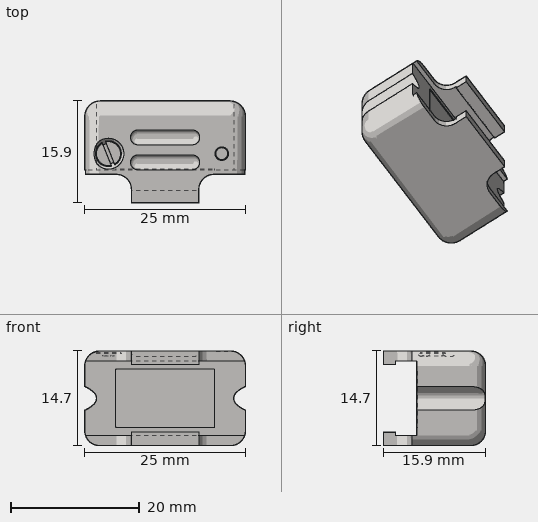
import cadquery as cq
import math

WIDTH = 25.02
DEPTH = 15.9
HEIGHT = 14.74
TOP = HEIGHT / 2

CORNER_RADIUS = 2.5
EDGE_RADIUS = 2.35

FRONT_FACE_Y = 5.13
LIP_Y = 4.43
LIP_THICKNESS = 1.6
TAB_WIDTH = 10.5
TAB_BLEND_RADIUS = 2.33
HOOK_LENGTH = 1.9
HOOK_THICKNESS = 2.13

PANEL_WIDTH = 15.35
PANEL_HEIGHT = 9.13
PANEL_CORNER_RADIUS = 0.15
PANEL_DEPTH = 0.13

NOTCH_DEPTH = 1.83
NOTCH_HALF_HEIGHT = 1.85
NOTCH_ROOT_RADIUS = 1.25
NOTCH_ROOT_HALF_HEIGHT = 0.93

SLOT_WIDTH = 2.3
SLOT_LENGTH = 10.75
SLOT_DEPTH = 0.88
SLOT_CENTERS_Y = (6.3, 10.18)

FASTENER_X = 8.8
FASTENER_Y = 7.65
SCREW_SEAT_RADIUS = 2.4
SCREW_HEAD_TOP = 0.28
SCREW_HEAD_CHAMFER = 0.13
SCREW_SLOT_WIDTH = 0.55
SCREW_SLOT_BOTTOM = 0.83
SCREW_SLOT_ANGLE = -68.0
PIN_RADIUS = 1.05
PIN_DEPTH = 0.13

CLEARANCE = 0.25


def box(x_size, y_start, y_end, z_start, z_end):
    """Box centred on X and spanning the given Y and Z ranges."""
    return (
        cq.Workplane("XY", origin=(0, y_start, z_start))
        .box(x_size, y_end - y_start, z_end - z_start, centered=(True, False, False))
    )


def make_body():
    block = box(WIDTH, LIP_Y, DEPTH, -TOP, TOP)
    block = block.edges("|Z and >Y").fillet(CORNER_RADIUS)
    return block.faces("<Z or >Z").edges("not(<Y)").fillet(EDGE_RADIUS)


def make_tab():
    """Upper tab with flared root and a thicker hooked tip."""
    half_tab = TAB_WIDTH / 2
    half_root = half_tab + TAB_BLEND_RADIUS
    blend_start_y = LIP_Y - TAB_BLEND_RADIUS
    diagonal = TAB_BLEND_RADIUS * math.sqrt(0.5)
    blend_mid = (half_root - diagonal, blend_start_y + diagonal)
    tab = (
        cq.Workplane("XY", origin=(0, 0, TOP - LIP_THICKNESS))
        .moveTo(-half_tab, 0)
        .lineTo(half_tab, 0)
        .lineTo(half_tab, blend_start_y)
        .threePointArc(blend_mid, (half_root, LIP_Y))
        .lineTo(half_root, FRONT_FACE_Y)
        .lineTo(-half_root, FRONT_FACE_Y)
        .lineTo(-half_root, LIP_Y)
        .threePointArc((-blend_mid[0], blend_mid[1]), (-half_tab, blend_start_y))
        .close()
        .extrude(LIP_THICKNESS)
    )
    return tab.union(box(TAB_WIDTH, 0, HOOK_LENGTH, TOP - HOOK_THICKNESS, TOP))


def make_panel():
    half_height = PANEL_HEIGHT / 2
    floor_y = FRONT_FACE_Y + PANEL_DEPTH
    panel = box(PANEL_WIDTH, FRONT_FACE_Y - CLEARANCE, floor_y, -half_height, half_height)
    return panel.edges("|Y").fillet(PANEL_CORNER_RADIUS)


def make_notch():
    """Left side notch: a round root flowing into wider, flatter arcs at the mouth."""
    root_center = NOTCH_DEPTH - NOTCH_ROOT_RADIUS

    def root_point(z):
        return (root_center + math.sqrt(NOTCH_ROOT_RADIUS**2 - z**2), z)

    upper_half = (
        cq.Workplane("XZ", origin=(-WIDTH / 2, 0, 0))
        .moveTo(NOTCH_DEPTH, 0)
        .threePointArc(root_point(NOTCH_ROOT_HALF_HEIGHT / 2), root_point(NOTCH_ROOT_HALF_HEIGHT))
        .tangentArcPoint((0, NOTCH_HALF_HEIGHT), relative=False)
        .lineTo(-CLEARANCE, NOTCH_HALF_HEIGHT)
        .lineTo(-CLEARANCE, 0)
        .close()
        .extrude(-DEPTH)
    )
    return upper_half.union(upper_half.mirror("XY"))


def make_slot(center_y):
    slot = (
        cq.Workplane("XY", origin=(0, center_y, TOP - SLOT_DEPTH))
        .slot2D(SLOT_LENGTH, SLOT_WIDTH)
        .extrude(SLOT_DEPTH + CLEARANCE)
    )
    return slot.faces("<Z").edges().fillet(SLOT_DEPTH)


def make_seat(center_x, rim_radius, depth):
    """45 degree conical recess in the top face."""
    return (
        cq.Workplane("XZ", origin=(center_x, FASTENER_Y, TOP))
        .lineTo(0, -depth)
        .lineTo(rim_radius - depth, -depth)
        .lineTo(rim_radius + CLEARANCE, CLEARANCE)
        .lineTo(0, CLEARANCE)
        .close()
        .revolve(360, (0, 0, 0), (0, 1, 0))
    )


def make_screw_recess():
    """Space around the chamfered screw head, including its driver slot."""
    head_base = SCREW_HEAD_TOP + SCREW_HEAD_CHAMFER
    head = (
        cq.Workplane("XY", origin=(-FASTENER_X, FASTENER_Y, TOP - SCREW_SLOT_BOTTOM))
        .circle(SCREW_SEAT_RADIUS - head_base)
        .extrude(SCREW_SLOT_BOTTOM - SCREW_HEAD_TOP)
        .faces(">Z")
        .chamfer(SCREW_HEAD_CHAMFER)
    )
    driver_slot = (
        cq.Workplane("XY")
        .box(2 * SCREW_SEAT_RADIUS, SCREW_SLOT_WIDTH, 2 * SCREW_SLOT_BOTTOM)
        .rotate((0, 0, 0), (0, 0, 1), SCREW_SLOT_ANGLE)
        .translate((-FASTENER_X, FASTENER_Y, TOP))
    )
    seat = make_seat(-FASTENER_X, SCREW_SEAT_RADIUS, SCREW_SLOT_BOTTOM)
    return seat.cut(head.cut(driver_slot))


lip_inside = TOP - LIP_THICKNESS
tab = make_tab()
notch = make_notch()

result = make_body()
result = result.cut(box(WIDTH, 0, FRONT_FACE_Y, -lip_inside, lip_inside))
result = result.union(tab).union(tab.mirror("XY"))
result = result.cut(make_panel())
result = result.cut(notch).cut(notch.mirror("YZ"))
for slot_y in SLOT_CENTERS_Y:
    result = result.cut(make_slot(slot_y))
result = result.cut(make_screw_recess())
result = result.cut(make_seat(FASTENER_X, PIN_RADIUS, PIN_DEPTH))